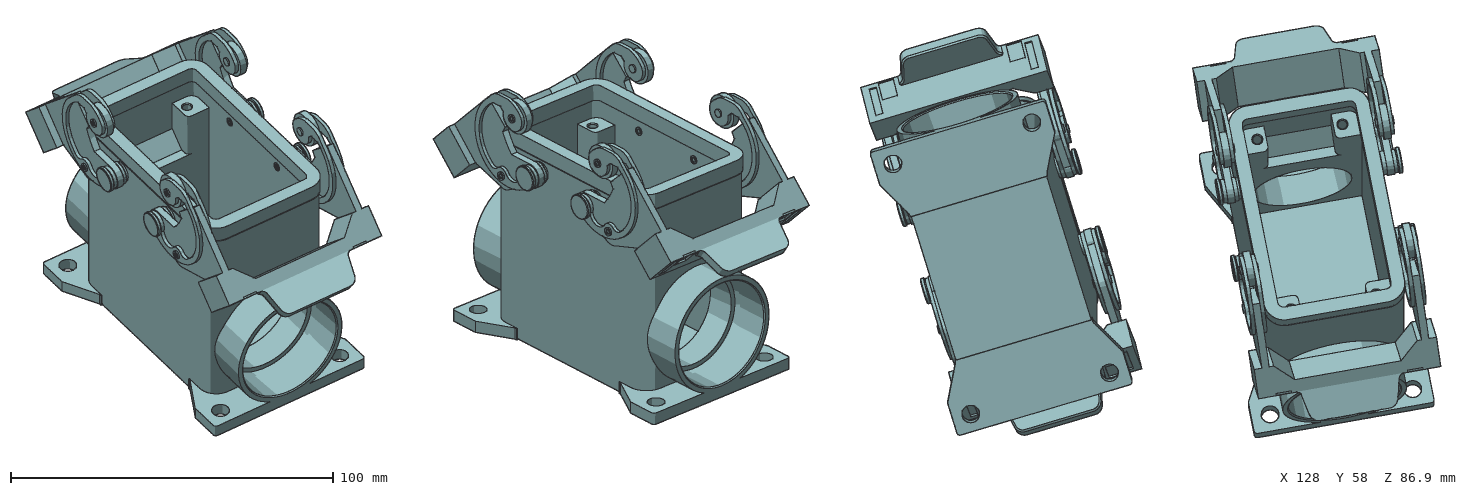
import cadquery as cq
import math

OVERALL_WIDTH = 58.0

BODY_LENGTH, BODY_WIDTH = 71.0, 43.9
BODY_BOTTOM = 0.4
RIM_BOTTOM, RIM_TOP = 67.5, 72.8
RIM_OVERHANG = 0.3
BODY_CORNER = 6.4

MOUTH_LENGTH, MOUTH_WIDTH = 63.0, 35.8
MOUTH_CORNER = 1.9
CAVITY_RELIEF = 0.9
CAVITY_CORNER = 3.0
FLOOR_TOP = 3.8

END_BLOCK_INNER = 24.0
END_BLOCK_TOP = 45.3
RAMP_INNER = 27.3

POST_SIDE = 7.3
POST_TOP = 60.9
POST_CORNER = 1.5
SCREW_X, SCREW_Y = 28.4, 13.5
SCREW_RADIUS, SCREW_DEPTH = 1.4, 11.5
SCREW_CHAMFER = 0.32
SCREW_POINT = 0.8

ENTRY_END = 47.0
ENTRY_Z = 22.0
ENTRY_RADIUS = 19.6
THREAD_RADIUS, THREAD_DEPTH = 17.7, 11.3
RUNOUT_RADIUS, RUNOUT_DEPTH = 17.2, 13.2
BORE_RADIUS = 15.6
ENTRY_CHAMFER = 0.4

FOOT_HEIGHT = 4.0
FOOT_HALF_WIDTH = 28.4
FOOT_SHOULDER_X = 36.2
FOOT_TIP_X, FOOT_TIP_Y = 23.8, 22.3
FOOT_TIP_FACE = 0.8
FOOT_CORNER = 1.0
FOOT_HOLE_X, FOOT_HOLE_Y = 41.5, 22.5
FOOT_HOLE_DIAMETER = 5.5

ARM_INNER, ARM_OUTER = 24.0, 26.4
SPRING_INNER, SPRING_OUTER = 22.8, 27.5

PIVOT = (-12.8, 63.2)
PIVOT_RADIUS = 4.1
PIVOT_SHANK_RADIUS = 3.3
PIVOT_EYE_RADIUS = 3.7
PIVOT_HEAD_INNER, PIVOT_HEAD_OUTER = 27.9, OVERALL_WIDTH / 2
PIVOT_HEAD_CHAMFER = 0.3
PIVOT_TAIL_INNER = 18.5

ROLLER = (-20.0, 81.0)
ROLLER_RADIUS = 5.5
HOOK_RADIUS = 4.4
RIVET = (-25.0, 59.0)
RIVET_DIAMETER, RIVET_RECESS_DIAMETER = 2.7, 1.5
RIVET_INNER, RIVET_OUTER = 22.3, 28.0
RIVET_RECESS_DEPTH = 0.4

SPRING_CENTER = (-22.0, 71.5)
SPRING_OUTER_RADIUS, SPRING_INNER_RADIUS = 15.4, 13.5
SPRING_TOP = SPRING_CENTER[1] + SPRING_OUTER_RADIUS
SHOULDER_RISE = 2.0
SHOULDER_MID, SHOULDER_END_X = (-28.9, 86.1), -26.4
HOOK_CREST = (-19.6, 86.0)
HOOK_UNDERSIDE, HOOK_THROAT_X = 83.1, -25.6
VALLEY_LOW, VALLEY_END = (-28.9, 60.3), (-27.1, 60.8)
RIVET_EYE_RADIUS = 2.7
SADDLE_START, SADDLE_LOW = (-22.9, 60.4), (-19.7, 58.9)

ARM_TOP_RUN = 22.9
ARM_NOSE, ARM_NOTCH = (-24.6, 75.8), (-25.7, 73.7)
ARM_THROAT_MID, ARM_THROAT_X = (-24.2, 70.8), -21.6
ARM_HEEL = ((-22.4, 54.8), (-24.7, 53.9), (-26.9, 54.3))

HANDLE_CORNER = (-55.4, 60.4)
HANDLE_DEPTH, HANDLE_REACH = 13.8, 10.2
HANDLE_HALF_WIDTH = 28.8
HANDLE_WEB = 4.4
HANDLE_GAP_OUTER, HANDLE_GAP_INNER = 22.7, 16.8

GRIP_TILT = 33.0
GRIP_THICKNESS = 3.6
GRIP_CHAMFER = 0.5
GRIP_TIP_X = -64.0
GRIP_ROOT_HALF = 16.8
GRIP_NECK, GRIP_NECK_HALF = 1.5, 15.4
GRIP_FLARE_MID = (-0.5, -15.9)
GRIP_TIP_HALF, GRIP_TIP_CORNER = 13.5, 3.1
GRIP_EMBED = 1.3

SOCKET_DEPTH = 0.6
SOCKET_MARGIN = 0.3
ARM_SOCKET_BOTTOM, ARM_SOCKET_HEIGHT = 11.6, 10.1
CORNER_SOCKET_Y, CORNER_SOCKET_WIDTH, CORNER_SOCKET_HEIGHT = 20.7, 4.9, 6.5


def slab(outline, y_low, y_high):
    """Extrude a closed XZ outline between two Y positions."""
    return outline.extrude(y_low - y_high).translate((0, y_low, 0))


def disc(center, radius, y_low, y_high):
    return slab(cq.Workplane("XZ").center(*center).circle(radius), y_low, y_high)


def rounded_block(length, width, corner, z_low, z_high):
    block = cq.Workplane("XY").workplane(offset=z_low).rect(length, width).extrude(z_high - z_low)
    return block.edges("|Z").fillet(corner)


def on_circle(center, radius, degrees):
    angle = math.radians(degrees)
    return (center[0] + radius * math.cos(angle), center[1] + radius * math.sin(angle))


def both_ends(shape):
    return shape.union(shape.mirror("YZ"))


def make_shell():
    body = rounded_block(BODY_LENGTH, BODY_WIDTH, BODY_CORNER, BODY_BOTTOM, RIM_BOTTOM)
    rim = rounded_block(
        BODY_LENGTH + 2 * RIM_OVERHANG, BODY_WIDTH + 2 * RIM_OVERHANG, BODY_CORNER, RIM_BOTTOM, RIM_TOP
    )
    return body.union(rim)


def make_cavity():
    mouth = rounded_block(MOUTH_LENGTH, MOUTH_WIDTH, MOUTH_CORNER, FLOOR_TOP, RIM_TOP)
    length = MOUTH_LENGTH + 2 * CAVITY_RELIEF
    width = MOUTH_WIDTH + 2 * CAVITY_RELIEF
    chamber = rounded_block(length, width, CAVITY_CORNER, FLOOR_TOP, RIM_BOTTOM)
    return mouth.union(chamber)


def make_end_block():
    """Thick end wall with a ledge and a ramp, filling the -X end of the cavity."""
    wall = MOUTH_LENGTH / 2 + CAVITY_RELIEF
    outline = (
        cq.Workplane("XZ")
        .moveTo(-wall, FLOOR_TOP)
        .lineTo(-END_BLOCK_INNER, FLOOR_TOP)
        .lineTo(-END_BLOCK_INNER, END_BLOCK_TOP)
        .lineTo(-RAMP_INNER, END_BLOCK_TOP)
        .lineTo(-wall, END_BLOCK_TOP + wall - RAMP_INNER)
        .close()
    )
    half_width = MOUTH_WIDTH / 2 + CAVITY_RELIEF
    return slab(outline, -half_width, half_width)


def make_posts():
    """Screw posts in the two -X corners of the cavity."""
    length = MOUTH_LENGTH / 2 + CAVITY_RELIEF - END_BLOCK_INNER
    width = POST_SIDE + CAVITY_RELIEF
    outer_x = END_BLOCK_INNER + length
    outer_y = MOUTH_WIDTH / 2 + CAVITY_RELIEF
    post = (
        cq.Workplane("XY")
        .box(length, width, POST_TOP - FLOOR_TOP, centered=False)
        .edges("|Z and >X and >Y")
        .fillet(POST_CORNER)
        .translate((-outer_x, -outer_y, FLOOR_TOP))
    )
    return post.union(post.mirror("XZ"))


def make_screw_hole(x, y):
    hole = cq.Workplane("XY").circle(SCREW_RADIUS).extrude(-SCREW_DEPTH)
    mouth = cq.Workplane("XY").circle(SCREW_RADIUS + SCREW_CHAMFER).extrude(-SCREW_CHAMFER, taper=45)
    point = cq.Workplane(cq.Solid.makeCone(SCREW_RADIUS, 0, SCREW_POINT, dir=cq.Vector(0, 0, -1)))
    return hole.union(mouth).union(point.translate((0, 0, -SCREW_DEPTH))).translate((x, y, POST_TOP))


def make_sleeve():
    return cq.Workplane("YZ").center(0, ENTRY_Z).circle(ENTRY_RADIUS).extrude(-ENTRY_END)


def make_bore():
    """Stepped bore of the -X cable entry, as a turned profile about its axis."""
    step_x = -ENTRY_END + RUNOUT_DEPTH
    profile = (
        cq.Workplane("XZ")
        .moveTo(-ENTRY_END, 0)
        .lineTo(-ENTRY_END, THREAD_RADIUS + ENTRY_CHAMFER)
        .lineTo(-ENTRY_END + ENTRY_CHAMFER, THREAD_RADIUS)
        .lineTo(-ENTRY_END + THREAD_DEPTH, THREAD_RADIUS)
        .lineTo(step_x, RUNOUT_RADIUS)
        .lineTo(step_x, BORE_RADIUS)
        .lineTo(0, BORE_RADIUS)
        .lineTo(0, 0)
        .close()
    )
    return profile.revolve(360, (0, 0), (1, 0)).translate((0, 0, ENTRY_Z))


def make_foot():
    """Mounting plate at the -X end, with tapered ears along the body sides."""
    half = [
        (-FOOT_SHOULDER_X, FOOT_HALF_WIDTH),
        (-FOOT_TIP_X - FOOT_TIP_FACE, FOOT_TIP_Y),
        (-FOOT_TIP_X, FOOT_TIP_Y),
    ]
    outline = [(-ENTRY_END, -FOOT_HALF_WIDTH), (-ENTRY_END, FOOT_HALF_WIDTH)]
    outline += half + [(x, -y) for x, y in reversed(half)]
    foot = cq.Workplane("XY").polyline(outline).close().extrude(FOOT_HEIGHT)
    foot = foot.edges("|Z and <X").fillet(FOOT_CORNER)
    holes = (
        cq.Workplane("XY")
        .pushPoints([(-FOOT_HOLE_X, -FOOT_HOLE_Y), (-FOOT_HOLE_X, FOOT_HOLE_Y)])
        .circle(FOOT_HOLE_DIAMETER / 2)
        .extrude(FOOT_HEIGHT)
    )
    return foot.cut(holes)


def make_spring_outline():
    """C-shaped cheek: hooks round the roller, sweeps round the back and ends at the pivot."""
    center_x, center_z = SPRING_CENTER
    shoulder = on_circle(SPRING_CENTER, SPRING_OUTER_RADIUS, 135)
    hook_rise = HOOK_UNDERSIDE - center_z
    hook_inner_x = center_x - math.sqrt(SPRING_INNER_RADIUS**2 - hook_rise**2)
    return (
        cq.Workplane("XZ")
        .moveTo(center_x, SPRING_TOP)
        .threePointArc(HOOK_CREST, on_circle(ROLLER, HOOK_RADIUS, 25))
        .threePointArc(on_circle(ROLLER, HOOK_RADIUS, 270), on_circle(ROLLER, HOOK_RADIUS, 170))
        .lineTo(HOOK_THROAT_X, HOOK_UNDERSIDE)
        .lineTo(hook_inner_x, HOOK_UNDERSIDE)
        .threePointArc(
            on_circle(SPRING_CENTER, SPRING_INNER_RADIUS, 180),
            on_circle(SPRING_CENTER, SPRING_INNER_RADIUS, 230),
        )
        .threePointArc(VALLEY_LOW, VALLEY_END)
        .threePointArc(on_circle(RIVET, RIVET_EYE_RADIUS, 90), SADDLE_START)
        .threePointArc(SADDLE_LOW, on_circle(PIVOT, PIVOT_EYE_RADIUS, 200))
        .threePointArc(on_circle(PIVOT, PIVOT_EYE_RADIUS, 45), on_circle(PIVOT, PIVOT_EYE_RADIUS, 280))
        .lineTo(*on_circle(SPRING_CENTER, SPRING_OUTER_RADIUS, 305))
        .threePointArc(on_circle(SPRING_CENTER, SPRING_OUTER_RADIUS, 200), shoulder)
        .line(SHOULDER_RISE, SHOULDER_RISE)
        .threePointArc(SHOULDER_MID, (SHOULDER_END_X, SPRING_TOP))
        .close()
    )


def make_arm_outline():
    """Flat lever arm between the cheeks, from the handle to the pivot."""
    handle_x, handle_z = HANDLE_CORNER
    run = HANDLE_REACH / math.sqrt(2)
    drop = HANDLE_DEPTH / math.sqrt(2)
    return (
        cq.Workplane("XZ")
        .moveTo(handle_x + run / 2, handle_z + run / 2)
        .lineTo(handle_x + ARM_TOP_RUN, handle_z + ARM_TOP_RUN)
        .lineTo(*ARM_NOSE)
        .lineTo(*ARM_NOTCH)
        .threePointArc(ARM_THROAT_MID, (ARM_THROAT_X, PIVOT[1] + PIVOT_RADIUS))
        .lineTo(PIVOT[0], PIVOT[1] + PIVOT_RADIUS)
        .threePointArc(on_circle(PIVOT, PIVOT_RADIUS, 0), on_circle(PIVOT, PIVOT_RADIUS, 270))
        .lineTo(*ARM_HEEL[0])
        .threePointArc(ARM_HEEL[1], ARM_HEEL[2])
        .lineTo(handle_x + run + drop, handle_z + run - drop)
        .lineTo(handle_x + run / 2 + drop, handle_z + run / 2 - drop)
        .close()
    )


def make_rivet(center):
    rivet = disc(center, RIVET_DIAMETER / 2, RIVET_INNER, RIVET_OUTER)
    recess = disc(center, RIVET_RECESS_DIAMETER / 2, RIVET_OUTER - RIVET_RECESS_DEPTH, RIVET_OUTER)
    return rivet.cut(recess)


def make_pivot():
    """Headed pin whose tail is riveted through the body wall."""
    wall_face = BODY_WIDTH / 2
    tail = disc(PIVOT, RIVET_DIAMETER / 2, PIVOT_TAIL_INNER, wall_face)
    recess = disc(PIVOT, RIVET_RECESS_DIAMETER / 2, PIVOT_TAIL_INNER, PIVOT_TAIL_INNER + RIVET_RECESS_DEPTH)
    shank = disc(PIVOT, PIVOT_SHANK_RADIUS, wall_face, PIVOT_HEAD_INNER)
    head = disc(PIVOT, PIVOT_RADIUS, PIVOT_HEAD_INNER, PIVOT_HEAD_OUTER)
    head = head.faces(">Y").chamfer(PIVOT_HEAD_CHAMFER)
    return tail.cut(recess).union(shank).union(head)


def make_lever_side():
    """Everything of the -X lever on the +Y side of the body, apart from the handle."""
    side = slab(make_spring_outline(), SPRING_INNER, ARM_INNER)
    side = side.union(slab(make_spring_outline(), ARM_OUTER, SPRING_OUTER))
    side = side.union(slab(make_arm_outline(), ARM_INNER, ARM_OUTER))
    side = side.union(disc(ROLLER, ROLLER_RADIUS, ARM_INNER, ARM_OUTER))
    side = side.union(make_pivot())
    for center in (ROLLER, RIVET):
        side = side.union(make_rivet(center))
    return side


def make_socket(center_y, width, bottom, height):
    """Shallow rectangular recess in the outer end face of the handle bar, before it is tilted."""
    socket = cq.Workplane("XY").box(SOCKET_DEPTH, width, height, centered=(False, True, False))
    return socket.translate((0, center_y, -bottom))


def make_handle():
    """Tilted cross bar joining both arms, built flat: +X along the reach, Z down the depth."""
    arm_outline = [
        (0, HANDLE_HALF_WIDTH),
        (HANDLE_REACH, HANDLE_HALF_WIDTH),
        (HANDLE_REACH, HANDLE_GAP_OUTER),
        (HANDLE_WEB, HANDLE_GAP_INNER),
    ]
    outline = arm_outline + [(x, -y) for x, y in reversed(arm_outline)]
    bar = cq.Workplane("XY").polyline(outline).close().extrude(-HANDLE_DEPTH)
    for side in (-1, 1):
        arm_y = side * (ARM_INNER + ARM_OUTER) / 2
        arm_width = ARM_OUTER - ARM_INNER
        corner_bottom = SOCKET_MARGIN + CORNER_SOCKET_HEIGHT
        bar = bar.cut(make_socket(arm_y, arm_width, ARM_SOCKET_BOTTOM, ARM_SOCKET_HEIGHT))
        bar = bar.cut(
            make_socket(side * CORNER_SOCKET_Y, CORNER_SOCKET_WIDTH, corner_bottom, CORNER_SOCKET_HEIGHT)
        )
    return bar.rotate((0, 0, 0), (0, 1, 0), -45).translate((HANDLE_CORNER[0], 0, HANDLE_CORNER[1]))


def make_grip():
    """Thumb tab reaching out and down from the handle."""
    length = (HANDLE_CORNER[0] - GRIP_TIP_X) / math.cos(math.radians(GRIP_TILT))
    half = (
        cq.Workplane("XY")
        .moveTo(GRIP_EMBED, -GRIP_ROOT_HALF)
        .lineTo(0, -GRIP_ROOT_HALF)
        .threePointArc(GRIP_FLARE_MID, (-GRIP_NECK, -GRIP_NECK_HALF))
        .lineTo(-length, -GRIP_TIP_HALF)
        .lineTo(-length, 0)
        .lineTo(GRIP_EMBED, 0)
        .close()
        .extrude(-GRIP_THICKNESS)
        .edges(cq.NearestToPointSelector((-length, -GRIP_TIP_HALF, -GRIP_THICKNESS / 2)))
        .fillet(GRIP_TIP_CORNER)
    )
    grip = half.union(half.mirror("XZ")).faces("<Z").edges("not(>X)").chamfer(GRIP_CHAMFER)
    return grip.rotate((0, 0, 0), (0, 1, 0), -GRIP_TILT).translate((HANDLE_CORNER[0], 0, HANDLE_CORNER[1]))


def make_lever():
    side = make_lever_side()
    lever = side.union(side.mirror("XZ"))
    return lever.union(make_handle()).union(make_grip())


housing = make_shell().union(both_ends(make_sleeve())).union(both_ends(make_foot()))
housing = housing.cut(make_cavity())
housing = housing.union(both_ends(make_end_block())).union(both_ends(make_posts()))
housing = housing.cut(both_ends(make_bore()))
for screw_x in (-SCREW_X, SCREW_X):
    for screw_y in (-SCREW_Y, SCREW_Y):
        housing = housing.cut(make_screw_hole(screw_x, screw_y))

result = housing.union(both_ends(make_lever()))